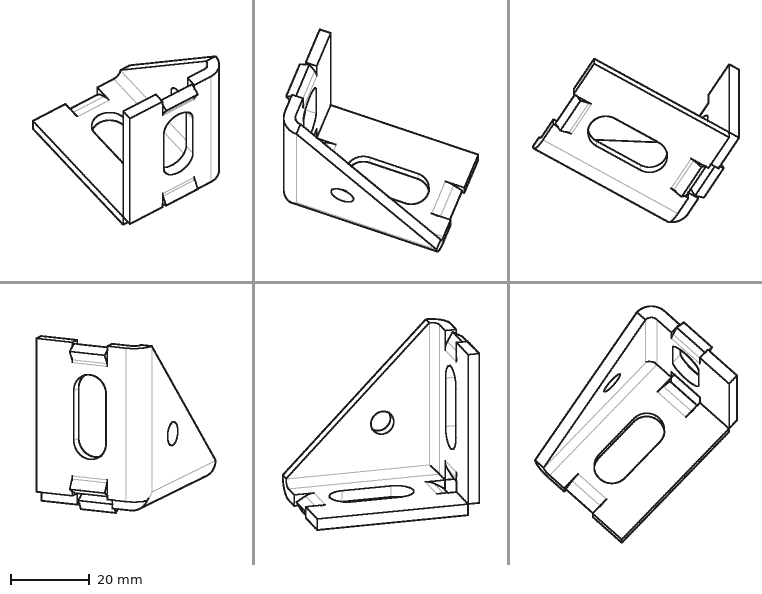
import cadquery as cq
import math

OVERALL = 44.6
WIDTH = 30.0
THICKNESS = 3.0
LEG = 40.0
BEND_INNER = 2.0
SLOT_LENGTH = 22.0
SLOT_WIDTH = 9.0
SLOT_FROM_END = 19.0
HOLE_DIAMETER = 6.0
HOLE_FROM_OUTSIDE = 17.45
TAB_WIDTH = 9.8
TAB_ANGLE = 30.0
TAB_BEND_INNER = 1.5
NOTCH_DEPTH = 5.2

BEND_OUTER = BEND_INNER + THICKNESS
TAB_BEND_OUTER = TAB_BEND_INNER + THICKNESS
LEG_OUTER = LEG + THICKNESS
TAB_PROTRUSION = OVERALL - LEG_OUTER
MID_Y = WIDTH / 2



def mirror_to_upright(body):
    """Reflect the flat leg onto the upright leg."""
    corner = (LEG_OUTER, 0, 0)
    return body.mirror(cq.Vector(1, 0, 1), corner)


def rounded_plan():
    """Block below the gusset whose corner follows the outer bend of the upright leg."""
    return (
        cq.Workplane("XY")
        .box(LEG_OUTER, WIDTH, BEND_OUTER, centered=False)
        .edges("|Z and >X and >Y")
        .fillet(BEND_OUTER)
    )


def bent_leg():
    """Flat leg along X with the quarter bend that rises into the gusset."""
    bend_y = WIDTH - BEND_OUTER
    slant = math.sqrt(0.5)
    leg = (
        cq.Workplane("YZ")
        .moveTo(0, 0)
        .lineTo(bend_y, 0)
        .threePointArc(
            (bend_y + BEND_OUTER * slant, BEND_OUTER * (1 - slant)),
            (WIDTH, BEND_OUTER),
        )
        .lineTo(WIDTH - THICKNESS, BEND_OUTER)
        .threePointArc(
            (bend_y + BEND_INNER * slant, BEND_OUTER - BEND_INNER * slant),
            (bend_y, THICKNESS),
        )
        .lineTo(0, THICKNESS)
        .close()
        .extrude(LEG)
    )
    return leg.intersect(rounded_plan())


def leg_slot():
    """Long mounting slot through the flat leg."""
    return (
        cq.Workplane("XY")
        .center(SLOT_FROM_END, MID_Y)
        .slot2D(SLOT_LENGTH, SLOT_WIDTH)
        .extrude(THICKNESS)
    )


def end_notch():
    """Opening at the free end of the flat leg that the tab bends out of."""
    return (
        cq.Workplane("XY", origin=(0, MID_Y, 0))
        .box(NOTCH_DEPTH, TAB_WIDTH, THICKNESS, centered=(False, True, False))
    )


def end_tab():
    """Tab at the free end of the flat leg, bent outward below it."""
    angle = math.radians(TAB_ANGLE)
    centre_z = -TAB_BEND_INNER

    def bend_point(radius, turn):
        return (NOTCH_DEPTH - radius * math.sin(turn), centre_z + radius * math.cos(turn))

    inner_end = bend_point(TAB_BEND_INNER, angle)
    outer_end = bend_point(TAB_BEND_OUTER, angle)
    flat = (TAB_PROTRUSION + inner_end[1]) / math.sin(angle)
    run = flat * math.cos(angle)
    fall = flat * math.sin(angle)
    return (
        cq.Workplane("XZ", origin=(0, MID_Y, 0))
        .moveTo(NOTCH_DEPTH, 0)
        .lineTo(NOTCH_DEPTH, THICKNESS)
        .threePointArc(bend_point(TAB_BEND_OUTER, angle / 2), outer_end)
        .lineTo(outer_end[0] - run, outer_end[1] - fall)
        .lineTo(inner_end[0] - run, inner_end[1] - fall)
        .lineTo(*inner_end)
        .threePointArc(bend_point(TAB_BEND_INNER, angle / 2), (NOTCH_DEPTH, 0))
        .close()
        .extrude(TAB_WIDTH / 2, both=True)
    )


def both_ends(body):
    """The body and its reflection at the other end of the flat leg."""
    return body.union(body.mirror("YZ").translate((LEG, 0, 0)))


def flat_leg():
    """Bent leg with its slot and a tab at both ends."""
    openings = leg_slot().union(both_ends(end_notch()))
    return bent_leg().cut(openings).union(both_ends(end_tab()))


def gusset():
    """Triangular web tying the bends of both legs, with its round hole."""
    inside_x = LEG_OUTER - BEND_OUTER
    web = (
        cq.Workplane("XZ", origin=(0, WIDTH, 0))
        .polyline([(0, BEND_OUTER), (inside_x, BEND_OUTER), (inside_x, LEG_OUTER)])
        .close()
        .extrude(THICKNESS)
    )
    hole = (
        cq.Workplane("XZ", origin=(0, WIDTH, 0))
        .center(LEG_OUTER - HOLE_FROM_OUTSIDE, HOLE_FROM_OUTSIDE)
        .circle(HOLE_DIAMETER / 2)
        .extrude(THICKNESS)
    )
    return web.cut(hole)


leg = flat_leg()
result = leg.union(mirror_to_upright(leg)).union(gusset())